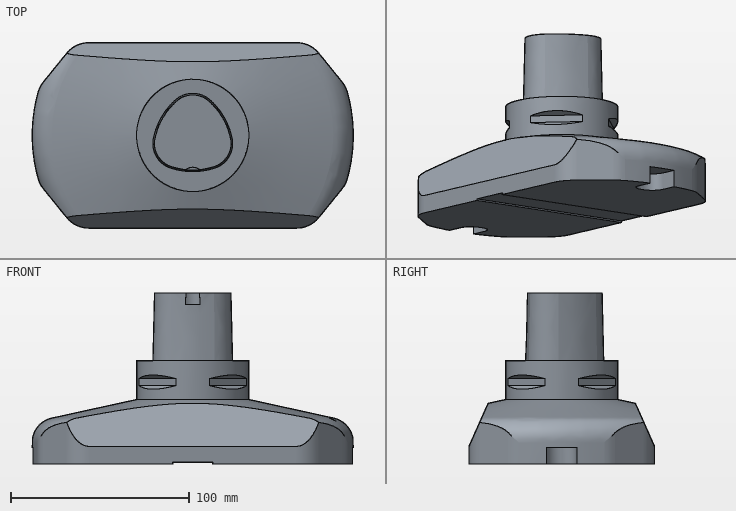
import cadquery as cq
import math

BODY_RADIUS = 90.0
BODY_WIDTH = 104.0
TOTAL_HEIGHT = 96.0

RIM_HEIGHT = 12.0
SHOULDER_RADIUS = 14.0
CONE_ANGLE = math.radians(12)
CONE_TOP_Z = 36.2

CORNER_NORMAL_ANGLE = math.radians(39)
CORNER_DISTANCE = 83.9
CORNER_BLEND = 16.2

SIDE_WALL_HEIGHT = 9.9
SIDE_SLOPE = math.radians(24)

FLANGE_RADIUS = 31.5
FLANGE_TOP_Z = 58.0
GROOVE_Z = 45.9
GROOVE_DEPTH = 3.6
GROOVE_FLOOR_HEIGHT = 3.8
GROOVE_WALL_ANGLE = math.radians(30)

LOBE_REACH = 23.5
FLAT_REACH = 20.3
LOBE_CENTRE_DISTANCE = 9.0
SHANK_TAPER = 0.9
LOBE_ANGLES = (-30, 90, 210)

NOTCH_RADIUS = 6.0
NOTCH_HEIGHT = 6.7
NOTCH_DEPTH = 1.6

RELIEF_WIDTH = 22.3
RELIEF_DEPTH = 0.9
SLOT_WIDTH = 17.1
SLOT_HEIGHT = 9.4
SLOT_LENGTH = 18.0
SLOT_CORNER_RADIUS = 7.7


def revolved_body():
    """Disc with a vertical rim, a tangent shoulder arc and a conical top."""
    arc_x = BODY_RADIUS - SHOULDER_RADIUS

    def shoulder_point(angle):
        return (
            arc_x + SHOULDER_RADIUS * math.cos(angle),
            RIM_HEIGHT + SHOULDER_RADIUS * math.sin(angle),
        )

    tangent_angle = math.pi / 2 - CONE_ANGLE
    return (
        cq.Workplane("XZ")
        .lineTo(BODY_RADIUS, 0)
        .lineTo(BODY_RADIUS, RIM_HEIGHT)
        .threePointArc(shoulder_point(tangent_angle / 2), shoulder_point(tangent_angle))
        .lineTo(FLANGE_RADIUS, CONE_TOP_Z)
        .lineTo(0, CONE_TOP_Z)
        .close()
        .revolve(360, (0, 0, 0), (0, 1, 0))
    )


def plan_prism():
    """Upright prism of the plan outline, with its vertical edges blended."""
    half_width = BODY_WIDTH / 2
    cos_normal = math.cos(CORNER_NORMAL_ANGLE)
    sin_normal = math.sin(CORNER_NORMAL_ANGLE)
    flat_end_x = (CORNER_DISTANCE - half_width * sin_normal) / cos_normal
    end_angle = CORNER_NORMAL_ANGLE - math.acos(CORNER_DISTANCE / BODY_RADIUS)
    end_x = BODY_RADIUS * math.cos(end_angle)
    end_y = BODY_RADIUS * math.sin(end_angle)
    return (
        cq.Workplane("XY")
        .moveTo(-flat_end_x, -half_width)
        .lineTo(flat_end_x, -half_width)
        .lineTo(end_x, -end_y)
        .threePointArc((BODY_RADIUS, 0), (end_x, end_y))
        .lineTo(flat_end_x, half_width)
        .lineTo(-flat_end_x, half_width)
        .lineTo(-end_x, end_y)
        .threePointArc((-BODY_RADIUS, 0), (-end_x, -end_y))
        .close()
        .extrude(CONE_TOP_Z)
        .edges("|Z")
        .fillet(CORNER_BLEND)
    )


def side_slope_prism():
    """Prism along X whose two sides lean inward above the side walls."""
    half_width = BODY_WIDTH / 2
    top_half_width = half_width - (CONE_TOP_Z - SIDE_WALL_HEIGHT) * math.tan(SIDE_SLOPE)
    return (
        cq.Workplane("YZ")
        .moveTo(-half_width, 0)
        .lineTo(half_width, 0)
        .lineTo(half_width, SIDE_WALL_HEIGHT)
        .lineTo(top_half_width, CONE_TOP_Z)
        .lineTo(-top_half_width, CONE_TOP_Z)
        .lineTo(-half_width, SIDE_WALL_HEIGHT)
        .close()
        .extrude(BODY_RADIUS, both=True)
    )


def flange():
    """Round flange with four flat-bottomed grooves."""
    height = FLANGE_TOP_Z - CONE_TOP_Z
    disc = cq.Workplane("XY").workplane(offset=CONE_TOP_Z).circle(FLANGE_RADIUS).extrude(height)
    floor_x = FLANGE_RADIUS - GROOVE_DEPTH
    floor_half = GROOVE_FLOOR_HEIGHT / 2
    mouth_half = floor_half + GROOVE_DEPTH * math.tan(GROOVE_WALL_ANGLE)
    groove = (
        cq.Workplane("XZ")
        .moveTo(floor_x, GROOVE_Z - floor_half)
        .lineTo(FLANGE_RADIUS, GROOVE_Z - mouth_half)
        .lineTo(FLANGE_RADIUS, GROOVE_Z + mouth_half)
        .lineTo(floor_x, GROOVE_Z + floor_half)
        .close()
        .extrude(FLANGE_RADIUS, both=True)
    )
    for angle in (45, 135, 225, 315):
        disc = disc.cut(groove.rotate((0, 0, 0), (0, 0, 1), angle))
    return disc


def polar(radius, degrees):
    """Point at a radius and an angle around the shank axis."""
    angle = math.radians(degrees)
    return (radius * math.cos(angle), radius * math.sin(angle))


def lobed_section(workplane, inset):
    """Six tangent arcs, all moved inward by the inset from the base outline."""
    lobe_reach = LOBE_REACH - inset
    flat_reach = FLAT_REACH - inset
    lobe_radius = lobe_reach - LOBE_CENTRE_DISTANCE

    along = LOBE_CENTRE_DISTANCE * math.cos(math.radians(60))
    across = LOBE_CENTRE_DISTANCE * math.sin(math.radians(60))

    gap = flat_reach - along
    flat_radius = (across**2 + gap**2 - lobe_radius**2) / (2 * (gap - lobe_radius))
    normal_angle = math.asin(across / (flat_radius - lobe_radius))
    seam_along = along + lobe_radius * math.cos(normal_angle)
    seam_across = across + lobe_radius * math.sin(normal_angle)
    seam_radius = math.hypot(seam_along, seam_across)
    seam_offset = 60 - math.degrees(math.atan2(seam_across, seam_along))

    section = workplane.moveTo(*polar(seam_radius, LOBE_ANGLES[0] - seam_offset))
    for angle in LOBE_ANGLES:
        lobe_end = polar(seam_radius, angle + seam_offset)
        flat_end = polar(seam_radius, angle + 120 - seam_offset)
        section = section.threePointArc(polar(lobe_reach, angle), lobe_end)
        section = section.threePointArc(polar(flat_reach, angle + 60), flat_end)
    return section.close()


def shank():
    """Tapered lobed shank with a key notch at its top."""
    base = lobed_section(cq.Workplane("XY").workplane(offset=FLANGE_TOP_Z), 0)
    top_plane = base.workplane(offset=TOTAL_HEIGHT - FLANGE_TOP_Z)
    body = lobed_section(top_plane, SHANK_TAPER).loft(ruled=True)
    notch_floor_y = NOTCH_DEPTH - (FLAT_REACH - SHANK_TAPER)
    notch = (
        cq.Workplane("XY")
        .workplane(offset=TOTAL_HEIGHT - NOTCH_HEIGHT)
        .center(0, notch_floor_y - NOTCH_RADIUS)
        .circle(NOTCH_RADIUS)
        .extrude(NOTCH_HEIGHT)
    )
    return body.cut(notch)


def underside_relief():
    """Shallow channel across the underside."""
    return cq.Workplane("XY").rect(RELIEF_WIDTH, BODY_WIDTH).extrude(RELIEF_DEPTH)


def end_slot(side):
    """Slot in one X end, open below, with rounded inner corners."""
    slot = (
        cq.Workplane("XY")
        .box(SLOT_LENGTH, SLOT_WIDTH, SLOT_HEIGHT, centered=(True, True, False))
        .edges("|Z and <X")
        .fillet(SLOT_CORNER_RADIUS)
        .translate((BODY_RADIUS - SLOT_LENGTH / 2, 0, 0))
    )
    return slot if side > 0 else slot.mirror("YZ")


body = revolved_body().intersect(plan_prism()).intersect(side_slope_prism())
body = body.cut(underside_relief())
for side in (-1, 1):
    body = body.cut(end_slot(side))

result = body.union(flange()).union(shank())